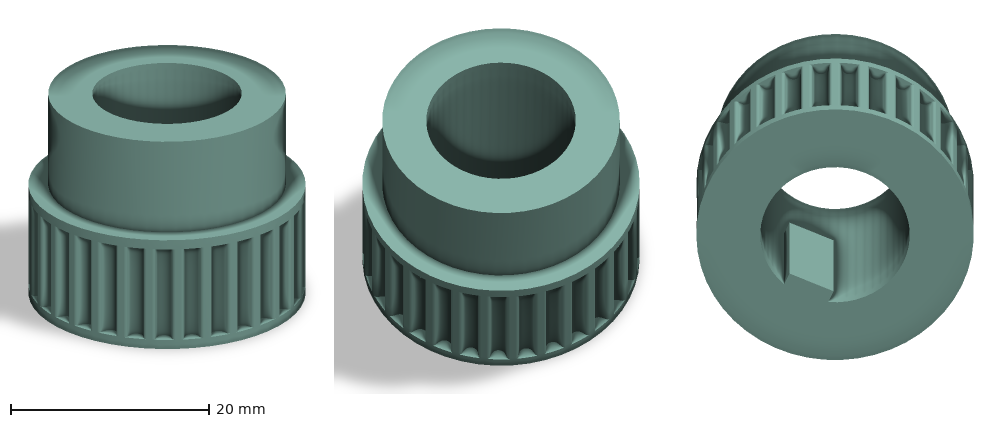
import cadquery as cq
import math

flange_diameter = 28.0
hub_diameter = 24.0
bore_diameter = 15.1
flange_thickness = 1.0
tooth_width = 10.0
hub_height = 10.0

tooth_count = 30
tooth_tip_radius = flange_diameter / 2
groove_depth = 1.2
floor_radius = 0.73
floor_half_angle = 66
flank_radius = 3.92
tip_fillet_radius = 0.3

key_width = 4.87
key_face_y = 5.82

pulley_height = 2 * flange_thickness + tooth_width
total_height = pulley_height + hub_height


def polar(centre, radius, angle):
    """Point at the given angle (radians, from +X) on a circle."""
    return (centre[0] + radius * math.cos(angle), centre[1] + radius * math.sin(angle))


def mirrored(point):
    return (point[0], -point[1])


def groove_profile():
    """Groove centred on +X: round floor, shallow-curved flanks and filleted tooth tips, all tangent."""
    floor_centre = (tooth_tip_radius - groove_depth + floor_radius, 0)
    floor_end_angle = math.pi - math.radians(floor_half_angle)
    floor_end = polar(floor_centre, floor_radius, floor_end_angle)

    flank_centre = polar(floor_centre, floor_radius - flank_radius, floor_end_angle)

    flank_distance = math.hypot(*flank_centre)
    fillet_reach = tooth_tip_radius - tip_fillet_radius
    centre_gap = flank_radius + tip_fillet_radius
    offset_cosine = (flank_distance**2 + fillet_reach**2 - centre_gap**2) / (
        2 * flank_distance * fillet_reach
    )
    tip_angle = math.atan2(flank_centre[1], flank_centre[0]) + math.acos(offset_cosine)
    fillet_centre = polar((0, 0), fillet_reach, tip_angle)
    tip = polar((0, 0), tooth_tip_radius, tip_angle)

    flank_end_angle = math.atan2(
        fillet_centre[1] - flank_centre[1],
        fillet_centre[0] - flank_centre[0],
    )
    flank_end = polar(flank_centre, flank_radius, flank_end_angle)
    flank_middle = polar(flank_centre, flank_radius, (floor_end_angle + flank_end_angle) / 2)
    fillet_middle = polar(fillet_centre, tip_fillet_radius, (tip_angle + flank_end_angle - math.pi) / 2)

    outside_x = tooth_tip_radius + tip_fillet_radius
    return (
        cq.Workplane("XY", origin=(0, 0, flange_thickness))
        .moveTo(*mirrored(tip))
        .threePointArc(mirrored(fillet_middle), mirrored(flank_end))
        .threePointArc(mirrored(flank_middle), mirrored(floor_end))
        .threePointArc((tooth_tip_radius - groove_depth, 0), floor_end)
        .threePointArc(flank_middle, flank_end)
        .threePointArc(fillet_middle, tip)
        .lineTo(outside_x, tip[1])
        .lineTo(outside_x, -tip[1])
        .close()
    )


def toothed_rim():
    """Plain cylinder between the flanges with the belt grooves cut from it."""
    rim = (
        cq.Workplane("XY", origin=(0, 0, flange_thickness))
        .circle(tooth_tip_radius)
        .extrude(tooth_width)
    )
    groove = groove_profile().extrude(tooth_width)
    pitch_angle = 360 / tooth_count
    for index in range(tooth_count):
        rim = rim.cut(groove.rotate((0, 0, 0), (0, 0, 1), index * pitch_angle))
    return rim


def disc(diameter, bottom_z, height):
    return cq.Workplane("XY", origin=(0, 0, bottom_z)).circle(diameter / 2).extrude(height)


def bore_key():
    """Rectangular key through the pulley portion only; it stops where the hub begins."""
    root_y = (bore_diameter + hub_diameter) / 4
    return (
        cq.Workplane("XY")
        .center(0, (key_face_y + root_y) / 2)
        .rect(key_width, root_y - key_face_y)
        .extrude(pulley_height)
    )


lower_flange = disc(flange_diameter, 0, flange_thickness)
upper_flange = disc(flange_diameter, flange_thickness + tooth_width, flange_thickness)
hub = disc(hub_diameter, pulley_height, hub_height)
bore = disc(bore_diameter, 0, total_height)

body = toothed_rim().union(lower_flange).union(upper_flange).union(hub)
result = body.cut(bore).union(bore_key())